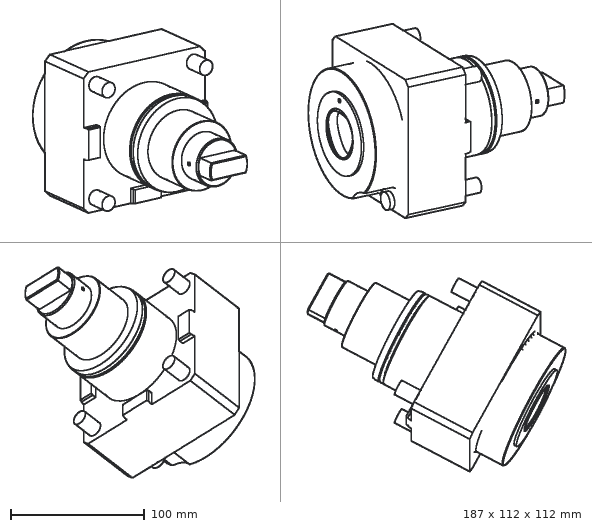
import cadquery as cq
import math


block_side = 112.0
block_length = 50.0
block_corner_chamfer = 4.5

flange_radius = 50.0
flange_length = 25.0
flange_edge_chamfer = 0.6
collar_fillet = 2.0
nose_radius = 32.4
nose_length = 2.0

scallop_radius = 23.0
scallop_y = -35.0
scallop_z = -60.0
pin_radius = 7.0
pin_length = 4.0
pin_y = -29.0
pin_z = pin_radius - block_side / 2

socket_mouth_radius = 19.6
socket_mouth_depth = 0.6
socket_mouth_chamfer = 0.5
socket_lobe_bevel = 0.5
socket_mean_radius = 17.65
socket_lobe_height = 1.25
socket_lobes = 3
socket_depth = 8.8
socket_points = 48
outlet_z = 26.8

shank_radius = 37.5
shank_end = 43.3
shank_chamfer_length = 2.2
shank_chamfer_height = 0.6
neck_radius = 27.4
neck_end = 75.0
neck_chamfer = 0.4
tail_radius = 19.0
tail_end = 95.0
tail_chamfer = 1.0

groove_start = 34.2
groove_width = 3.6
groove_depth = 2.6
groove_edge_chamfer = 0.4
ring_section_radius = 1.5

tang_radius = 17.4
tang_end = 110.0
tang_thickness = 14.0
tang_chamfer = 0.8

cross_hole_x = 84.5

small_hole_radius = 1.0
small_hole_depth = 3.0
small_hole_countersink = 0.5

screw_radius = 6.0
screw_length = 17.0
screw_offset = 45.0

key_width = 25.2
key_length = 12.0
key_height = 5.0
key_slope = 1.1
key_bevel_length = 1.7
key_bevel_width = 0.6
key_angles = (0, 180, 270)

overlap = 1.0

block_front = -block_length
flange_front = block_front - flange_length
nose_front = flange_front - nose_length


def rod(x_start, length, radius, y=0.0, z=0.0):
    """Cylinder along +X."""
    return cq.Workplane("YZ", origin=(x_start, y, z)).circle(radius).extrude(length)


def make_block():
    block = cq.Workplane("YZ").rect(block_side, block_side).extrude(-block_length)
    return block.edges("|X").chamfer(block_corner_chamfer)


def make_flange():
    """Round flange with a concave fillet onto the block and a scallop clearing the pin."""
    flange = rod(flange_front, flange_length, flange_radius)
    flange = flange.faces("<X").chamfer(flange_edge_chamfer)
    fillet_start = block_front - collar_fillet
    fillet_top = flange_radius + collar_fillet
    arc_middle_offset = collar_fillet * math.sqrt(0.5)
    collar = (
        cq.Workplane("XY")
        .moveTo(fillet_start, 0)
        .lineTo(fillet_start, flange_radius)
        .threePointArc(
            (fillet_start + arc_middle_offset, fillet_top - arc_middle_offset),
            (block_front, fillet_top),
        )
        .lineTo(block_front, 0)
        .close()
        .revolve(360, (0, 0, 0), (1, 0, 0))
    )
    scallop = rod(flange_front, flange_length, scallop_radius, scallop_y, scallop_z)
    return flange.union(collar).cut(scallop)


def make_nose():
    return rod(nose_front, nose_length + overlap, nose_radius)


def make_pin():
    return rod(block_front - pin_length, pin_length + overlap, pin_radius, pin_y, pin_z)


def make_shank():
    shank = (
        cq.Workplane("XY")
        .moveTo(-overlap, 0)
        .lineTo(-overlap, shank_radius)
        .lineTo(shank_end - shank_chamfer_length, shank_radius)
        .lineTo(shank_end, shank_radius - shank_chamfer_height)
        .lineTo(shank_end, neck_radius)
        .lineTo(neck_end - neck_chamfer, neck_radius)
        .lineTo(neck_end, neck_radius - neck_chamfer)
        .lineTo(neck_end, tail_radius)
        .lineTo(tail_end - tail_chamfer, tail_radius)
        .lineTo(tail_end, tail_radius - tail_chamfer)
        .lineTo(tail_end, 0)
        .close()
        .revolve(360, (0, 0, 0), (1, 0, 0))
    )
    return shank.cut(make_ring_groove()).union(make_o_ring())


def make_ring_groove():
    """Square groove with chamfered edges."""
    outer_start = groove_start - groove_edge_chamfer
    groove_end = groove_start + groove_width
    groove_root = shank_radius - groove_depth
    return (
        cq.Workplane("XY")
        .moveTo(groove_start, groove_root)
        .lineTo(groove_start, shank_radius - groove_edge_chamfer)
        .lineTo(outer_start, shank_radius)
        .lineTo(groove_end + groove_edge_chamfer, shank_radius)
        .lineTo(groove_end, shank_radius - groove_edge_chamfer)
        .lineTo(groove_end, groove_root)
        .close()
        .revolve(360, (0, 0, 0), (1, 0, 0))
    )


def make_o_ring():
    """Round ring level with the shank surface, pressed slightly into the groove floor."""
    ring_centre_x = groove_start + groove_width / 2
    ring_centre_radius = shank_radius - ring_section_radius
    return (
        cq.Workplane("XY")
        .moveTo(ring_centre_x, ring_centre_radius)
        .circle(ring_section_radius)
        .revolve(360, (0, 0, 0), (1, 0, 0))
    )


def make_tang():
    tang = rod(tail_end - overlap, tang_end - tail_end + overlap, tang_radius)
    flats = cq.Workplane("XY").box(2 * (tang_end + overlap), 2 * (tang_radius + overlap), tang_thickness)
    return tang.intersect(flats).faces(">X").chamfer(tang_chamfer)


def make_screws():
    screws = cq.Workplane("XY")
    for y in (-screw_offset, screw_offset):
        for z in (-screw_offset, screw_offset):
            screws = screws.add(rod(-overlap, screw_length + overlap, screw_radius, y, z))
    return screws.combine()


def make_key(angle):
    """Key flush with the block edge, outer face sloping inward; angle 0 is the +Y edge."""
    outer_y = block_side / 2
    inner_y = outer_y - key_length
    side_profile = (
        cq.Workplane("XY")
        .moveTo(-overlap, inner_y)
        .lineTo(key_height, inner_y)
        .lineTo(key_height, outer_y - key_slope)
        .lineTo(0, outer_y)
        .lineTo(-overlap, outer_y)
        .close()
        .extrude(key_width / 2, both=True)
    )
    half_width = key_width / 2
    bevel_start = key_height - key_bevel_length
    plan_profile = (
        cq.Workplane("XZ")
        .moveTo(-overlap, -half_width)
        .lineTo(bevel_start, -half_width)
        .lineTo(key_height, key_bevel_width - half_width)
        .lineTo(key_height, half_width - key_bevel_width)
        .lineTo(bevel_start, half_width)
        .lineTo(-overlap, half_width)
        .close()
        .extrude(-block_side)
    )
    return side_profile.intersect(plan_profile).rotate((0, 0, 0), (1, 0, 0), angle)


def lobed_outline(start_x, offset):
    """Three-lobed closed curve with one lobe pointing down, grown by offset."""
    points = []
    for i in range(socket_points):
        angle = 2 * math.pi * i / socket_points
        lobe = socket_lobe_height * math.cos(socket_lobes * (angle + math.pi / 2))
        radius = socket_mean_radius + offset + lobe
        points.append((radius * math.cos(angle), radius * math.sin(angle)))
    return cq.Workplane("YZ", origin=(start_x, 0, 0)).spline(points, periodic=True).close()


def make_socket():
    """Three-lobed pocket with a bevelled rim, below a round chamfered mouth."""
    rim_x = nose_front + socket_mouth_depth
    mouth = rod(nose_front, socket_mouth_depth, socket_mouth_radius)
    mouth = mouth.faces(">X").chamfer(socket_mouth_chamfer)
    pocket = lobed_outline(nose_front, 0).extrude(socket_depth)
    bevel_floor = lobed_outline(rim_x + socket_lobe_bevel, 0).val()
    bevel_rim = lobed_outline(rim_x, socket_lobe_bevel).val()
    bevel = cq.Workplane(cq.Solid.makeLoft([bevel_rim, bevel_floor], True))
    return pocket.union(mouth).union(bevel)


def make_small_hole():
    """Cutter for a blind hole along +X, with its countersunk mouth at the origin."""
    mouth_radius = small_hole_radius + small_hole_countersink
    return (
        cq.Workplane("XY")
        .moveTo(-overlap, 0)
        .lineTo(-overlap, mouth_radius)
        .lineTo(0, mouth_radius)
        .lineTo(small_hole_countersink, small_hole_radius)
        .lineTo(small_hole_depth, small_hole_radius)
        .lineTo(small_hole_depth, 0)
        .close()
        .revolve(360, (0, 0, 0), (1, 0, 0))
    )


def make_outlet():
    return make_small_hole().translate((nose_front, 0, outlet_z))


def make_cross_holes():
    hole = make_small_hole().rotate((0, 0, 0), (0, 0, 1), 90)
    hole = hole.translate((cross_hole_x, -tail_radius, 0))
    return hole.union(hole.mirror("XZ"))


body = make_block()
body = body.union(make_flange()).union(make_nose()).union(make_pin())
body = body.union(make_shank()).union(make_tang()).union(make_screws())
for key_angle in key_angles:
    body = body.union(make_key(key_angle))
body = body.cut(make_socket())
body = body.cut(make_outlet())
result = body.cut(make_cross_holes())